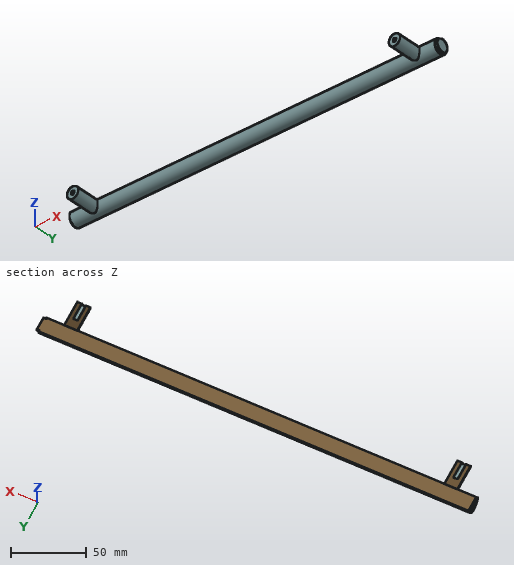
import cadquery as cq

total_length = 320.0
total_depth = 32.0

bar_diameter = 12.0
spigot_diameter = 10.2
spigot_length = 2.0
socket_depth = 1.0
bar_radius = bar_diameter / 2
bar_length = total_length - spigot_length

post_diameter = 10.0
post_end_distance = 20.0
post_tip_y = bar_radius - total_depth
post_offset = total_length / 2 - post_end_distance

screw_hole_diameter = 3.0
screw_hole_depth = 12.8


def make_rod():
    """Full-diameter length of the bar."""
    return cq.Workplane("YZ", origin=(-total_length / 2, 0, 0)).circle(bar_radius).extrude(bar_length)


def make_bar():
    """Rod with a reduced round spigot on its +X end and a shallow socket of that diameter in its -X end."""
    spigot = (
        cq.Workplane("YZ", origin=(total_length / 2 - spigot_length, 0, 0))
        .circle(spigot_diameter / 2)
        .extrude(spigot_length)
    )
    socket = (
        cq.Workplane("YZ", origin=(-total_length / 2, 0, 0))
        .circle(spigot_diameter / 2)
        .extrude(socket_depth)
    )
    return make_rod().union(spigot).cut(socket)


def make_post(x):
    """Round post whose inner end is coped to seat against the bar."""
    tip = cq.Workplane(cq.Plane(origin=(x, post_tip_y, 0), xDir=(1, 0, 0), normal=(0, 1, 0)))
    blank = tip.circle(post_diameter / 2).extrude(-post_tip_y)
    screw_hole = tip.circle(screw_hole_diameter / 2).extrude(screw_hole_depth)
    return blank.cut(make_rod()).cut(screw_hole)


bar = make_bar()
posts = [make_post(x) for x in (-post_offset, post_offset)]

result = cq.Compound.makeCompound([bar.val(), *[post.val() for post in posts]])